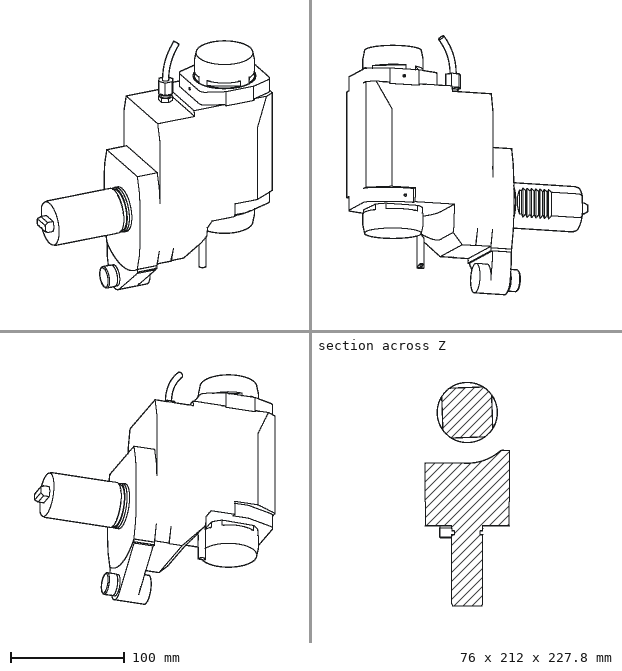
import cadquery as cq
import math


BODY_HALF_WIDTH = 38.0
BODY_REAR_Y = 133.5
BODY_TOP_Z = 97.1
BODY_BOTTOM_Z = -9.7
SHOULDER_Y = 55.2
SHOULDER_DROP = 5.0
TOP_BEVEL_DROP = 25.0
TOP_BEVEL_INSET = 7.0
REAR_BEVEL_LENGTH = 20.0
REAR_BEVEL_ANGLE = 30.0
REAR_BEVEL_INSET = REAR_BEVEL_LENGTH * math.tan(math.radians(REAR_BEVEL_ANGLE))
FRONT_BEVEL_LENGTH = 11.6

FLANGE_THICKNESS = 19.3
FLANGE_HALF_WIDTH = 36.9
FLANGE_RADIUS = 55.0
FLANGE_TOP_Z = 44.4
SIDE_FLAT_HALF_HEIGHT = 16.8
SIDE_LEAN = 0.1
LEAN_BREAK_Z = 29.8
LEAN_BREAK_HALF_WIDTH = FLANGE_HALF_WIDTH - SIDE_LEAN * (LEAN_BREAK_Z - SIDE_FLAT_HALF_HEIGHT)
FLANGE_CORNER_X = 31.1
FLANGE_CORNER_Z = math.sqrt(FLANGE_RADIUS**2 - FLANGE_CORNER_X**2)
FOOT_HALF_WIDTH = 31.3
FOOT_BOTTOM_Z = -48.0
HOUSING_BOTTOM_Z = -44.0
HOUSING_SLOPE_END_Y = 45.5
HOUSING_RELIEF_Y = 33.1
HOUSING_RELIEF_INSET = 1.0
HOUSING_STEP = 0.5
CAP_CLEARANCE_RADIUS = 44.4
HOUSING_WALL_Y = 65.4
HOUSING_WALL_TOP_Z = -15.6
HOUSING_WALL_TOP_RUN = 4.4

SPINDLE_Y = 99.5
RING_THICKNESS = 12.4
RING_HALF_LENGTH = BODY_REAR_Y - SPINDLE_Y
RING_CORNER_RADIUS = 6.0
RING_SLANT_ANGLE = 21.4
RING_SLANT_APEX_X = 36.7
TOP_RING_HALF_WIDTH = 31.4
TOP_RING_ROOT = 1.4
BOTTOM_RING_HALF_WIDTH = 34.2
BOTTOM_RING_FLAT_REACH = 10.0
BOTTOM_RING_EDGE_RADIUS = 4.0
RING_RECESS_DIAMETER = 55.0
RING_RECESS_DEPTH = 1.0
RING_DOT_DIAMETER = 2.1
RING_DOT_DEPTH = 2.0
RING_DOT_DROP = 6.1
RING_POCKET_Y = 91.8
CAP_DIAMETER = 53.0
CAP_END_DIAMETER = 50.0
CAP_HEIGHT = 22.0
CAP_TAPER_HEIGHT = 7.4
CAP_FLAT_HEIGHT = 4.8
CAP_ACROSS_FLATS = 44.0
CAP_FLAT_COUNT = 4
TOP_CAP_TURN = -27.0
BOTTOM_CAP_TURN = 2.0

SHANK_DIAMETER = 40.0
SHANK_LENGTH = 70.3
SHANK_CHAMFER_LENGTH = 2.2
SHANK_CHAMFER_DEPTH = 0.7
COLLAR_DIAMETER = 39.6
COLLAR_START = 2.3
SEAL_GROOVE_START = 4.3
SEAL_GROOVE_WIDTH = 3.4
SEAL_GROOVE_DIAMETER = 37.0
SHANK_FLAT_X = -17.0
SHANK_FLAT_START = 9.0
TOOTH_COUNT = 7
TOOTH_PITCH = 4.0
TOOTH_DEPTH = 1.8
FIRST_TOOTH_Y = -15.8
TANG_DIAMETER = 17.0
TANG_HEIGHT = 9.7
TANG_LENGTH = 8.2
TANG_TIP_LENGTH = 2.9
TANG_TIP_DEPTH = 1.9

LUG_X = -14.5
LUG_Z = -70.0
LUG_RADIUS = 13.0
LUG_FRONT_Y = 0.2
LUG_REAR_Y = 18.0
LUG_HALF_WIDTH = 31.1
LUG_LEFT_BREAK_Z = -57.3
LUG_RIGHT_BREAK_Z = -49.2
LUG_BOSS_REAR_Y = 28.1
PIN_DIAMETER = 19.4
PIN_NECK_DIAMETER = 19.0
PIN_NECK_LENGTH = 2.0
PIN_LENGTH = 10.8
PIN_CHAMFER = 1.0

HOSE_X = -10.0
HOSE_Y = 47.1
BASE_NUT_ACROSS_FLATS = 10.8
BASE_NUT_HEIGHT = 3.6
STEM_DIAMETER = 8.15
COLLAR_NECK_DIAMETER = 9.8
STEM_HEIGHT = 2.2
COLLAR_NECK_HEIGHT = 1.3
TOP_NUT_ACROSS_FLATS = 12.0
TOP_NUT_HEIGHT = 12.2
HOSE_DIAMETER = 5.6
HOSE_REACH = 13.2
HOSE_RISE = 31.43
HOSE_TIP_ANGLE = 45.0
HOSE_HEADING = 109.0

PIPE_X = 31.1
PIPE_Y = 63.3
PIPE_DIAMETER = 6.37
PIPE_END_Z = -54.8
PIPE_CUT_WIDTH = 2.4
PIPE_CUT_HEIGHT = 3.3
PIPE_OUTLET_DIAMETER = 2.1
PIPE_OUTLET_DEPTH = 3.0

OVERSIZE = 100.0


def box(x0, x1, y0, y1, z0, z1):
    return cq.Workplane("XY").box(x1 - x0, y1 - y0, z1 - z0, centered=False).translate((x0, y0, z0))


def prism_along_y(points, y0, y1):
    """Extrude an (x, z) outline from y0 to y1."""
    return cq.Workplane("XZ", origin=(0, y0, 0)).polyline(points).close().extrude(y0 - y1)


def cylinder_along_y(x, z, diameter, y0, y1):
    return cq.Workplane("XZ", origin=(x, y0, z)).circle(diameter / 2).extrude(y0 - y1)


def mirrored_pair(shape):
    return shape.union(shape.mirror("YZ"))


def tangent_point(point, center, radius, side):
    """Point where the line from `point` touches the circle; `side` is +1 or -1."""
    dx = point[0] - center[0]
    dz = point[1] - center[1]
    angle = math.atan2(dz, dx) + side * math.acos(radius / math.hypot(dx, dz))
    return (center[0] + radius * math.cos(angle), center[1] + radius * math.sin(angle))


def make_body():
    lean_start_z = -SIDE_FLAT_HALF_HEIGHT + (BODY_HALF_WIDTH - FLANGE_HALF_WIDTH) / SIDE_LEAN
    lower_lean = (LEAN_BREAK_HALF_WIDTH - FLANGE_CORNER_X) / (FLANGE_CORNER_Z - LEAN_BREAK_Z)
    bottom_run = lower_lean * (-HOUSING_BOTTOM_Z - LEAN_BREAK_Z)
    bottom_half_width = LEAN_BREAK_HALF_WIDTH - bottom_run - HOUSING_STEP
    right_side = [
        (bottom_half_width, HOUSING_BOTTOM_Z),
        (LEAN_BREAK_HALF_WIDTH, -LEAN_BREAK_Z),
        (BODY_HALF_WIDTH, lean_start_z),
        (BODY_HALF_WIDTH, BODY_TOP_Z - TOP_BEVEL_DROP),
        (BODY_HALF_WIDTH - TOP_BEVEL_INSET, BODY_TOP_Z),
    ]
    left_side = [(-x, z) for x, z in reversed(right_side)]
    body = prism_along_y(right_side + left_side, FLANGE_THICKNESS, BODY_REAR_Y)

    plan = cq.Workplane("XY", origin=(0, 0, -OVERSIZE))
    rear = plan.polyline([
        (BODY_HALF_WIDTH, BODY_REAR_Y - REAR_BEVEL_LENGTH),
        (BODY_HALF_WIDTH, BODY_REAR_Y),
        (BODY_HALF_WIDTH - REAR_BEVEL_INSET, BODY_REAR_Y),
    ]).close().extrude(2 * OVERSIZE)
    front = plan.polyline([
        (BODY_HALF_WIDTH, FLANGE_THICKNESS + FRONT_BEVEL_LENGTH),
        (BODY_HALF_WIDTH, FLANGE_THICKNESS),
        (FLANGE_HALF_WIDTH, FLANGE_THICKNESS),
    ]).close().extrude(2 * OVERSIZE)
    body = body.cut(mirrored_pair(rear)).cut(mirrored_pair(front))

    shoulder_z = BODY_TOP_Z - SHOULDER_DROP
    body = body.cut(box(-OVERSIZE, OVERSIZE, 0, SHOULDER_Y, shoulder_z, OVERSIZE))

    relief = prism_along_y([
        (LEAN_BREAK_HALF_WIDTH, -LEAN_BREAK_Z),
        (OVERSIZE, HOUSING_BOTTOM_Z),
        (bottom_half_width - HOUSING_RELIEF_INSET, HOUSING_BOTTOM_Z),
    ], HOUSING_RELIEF_Y, BODY_REAR_Y)
    return body.cut(mirrored_pair(relief)).cut(make_spindle_clearance())


def make_spindle_clearance():
    """Space around the bottom cap: straight on the -X side, round on the +X side."""
    straight = box(-OVERSIZE, 0, SHOULDER_Y, BODY_REAR_Y, -OVERSIZE, BODY_BOTTOM_Z)
    bore = (
        cq.Workplane("XY", origin=(0, SPINDLE_Y, BODY_BOTTOM_Z))
        .circle(CAP_CLEARANCE_RADIUS)
        .extrude(-OVERSIZE)
    )
    behind = (
        cq.Workplane("YZ")
        .polyline([
            (HOUSING_WALL_Y, -OVERSIZE),
            (HOUSING_WALL_Y, HOUSING_WALL_TOP_Z),
            (HOUSING_WALL_Y + HOUSING_WALL_TOP_RUN, BODY_BOTTOM_Z),
            (BODY_REAR_Y, BODY_BOTTOM_Z),
            (BODY_REAR_Y, -OVERSIZE),
        ])
        .close()
        .extrude(OVERSIZE)
    )
    slope = (
        cq.Workplane("YZ", origin=(-OVERSIZE, 0, 0))
        .polyline([
            (HOUSING_SLOPE_END_Y, HOUSING_BOTTOM_Z),
            (HOUSING_SLOPE_END_Y + OVERSIZE, HOUSING_BOTTOM_Z),
            (HOUSING_SLOPE_END_Y + OVERSIZE, HOUSING_BOTTOM_Z + OVERSIZE),
        ])
        .close()
        .extrude(2 * OVERSIZE)
        .intersect(box(-OVERSIZE, OVERSIZE, 0, 2 * OVERSIZE, -OVERSIZE, BODY_BOTTOM_Z))
    )
    return straight.union(bore).union(behind).union(slope)


def make_flange():
    top_run = (LEAN_BREAK_HALF_WIDTH - FLANGE_CORNER_X) / (FLANGE_CORNER_Z - LEAN_BREAK_Z)
    top_half_width = LEAN_BREAK_HALF_WIDTH - top_run * (FLANGE_TOP_Z - LEAN_BREAK_Z)
    flange = (
        cq.Workplane("XZ")
        .moveTo(-FLANGE_CORNER_X, -FLANGE_CORNER_Z)
        .threePointArc((0, -FLANGE_RADIUS), (FLANGE_CORNER_X, -FLANGE_CORNER_Z))
        .lineTo(LEAN_BREAK_HALF_WIDTH, -LEAN_BREAK_Z)
        .lineTo(FLANGE_HALF_WIDTH, -SIDE_FLAT_HALF_HEIGHT)
        .lineTo(FLANGE_HALF_WIDTH, SIDE_FLAT_HALF_HEIGHT)
        .lineTo(LEAN_BREAK_HALF_WIDTH, LEAN_BREAK_Z)
        .lineTo(top_half_width, FLANGE_TOP_Z)
        .lineTo(-top_half_width, FLANGE_TOP_Z)
        .lineTo(-LEAN_BREAK_HALF_WIDTH, LEAN_BREAK_Z)
        .lineTo(-FLANGE_HALF_WIDTH, SIDE_FLAT_HALF_HEIGHT)
        .lineTo(-FLANGE_HALF_WIDTH, -SIDE_FLAT_HALF_HEIGHT)
        .lineTo(-LEAN_BREAK_HALF_WIDTH, -LEAN_BREAK_Z)
        .close()
        .extrude(-FLANGE_THICKNESS)
    )
    flange = flange.cut(
        box(-OVERSIZE, OVERSIZE, LUG_REAR_Y, FLANGE_THICKNESS, -OVERSIZE, FOOT_BOTTOM_Z)
    )
    foot = box(
        -FOOT_HALF_WIDTH, FOOT_HALF_WIDTH, LUG_FRONT_Y, FLANGE_THICKNESS, FOOT_BOTTOM_Z, -FLANGE_CORNER_Z
    )
    return flange.union(foot)


def make_lug():
    center = (LUG_X, LUG_Z)
    left = (-LUG_HALF_WIDTH, LUG_LEFT_BREAK_Z)
    right = (LUG_HALF_WIDTH, LUG_RIGHT_BREAK_Z)
    plate = (
        cq.Workplane("XZ", origin=(0, LUG_FRONT_Y, 0))
        .moveTo(-LUG_HALF_WIDTH, -FLANGE_CORNER_Z)
        .lineTo(*left)
        .lineTo(*tangent_point(left, center, LUG_RADIUS, 1))
        .threePointArc((LUG_X, LUG_Z - LUG_RADIUS), tangent_point(right, center, LUG_RADIUS, -1))
        .lineTo(*right)
        .lineTo(LUG_HALF_WIDTH, -FLANGE_CORNER_Z)
        .close()
        .extrude(LUG_FRONT_Y - LUG_REAR_Y)
    )
    boss = cylinder_along_y(LUG_X, LUG_Z, 2 * LUG_RADIUS, LUG_FRONT_Y, LUG_BOSS_REAR_Y)
    pin = cylinder_along_y(LUG_X, LUG_Z, PIN_DIAMETER, -PIN_LENGTH, -PIN_NECK_LENGTH)
    pin = pin.faces("<Y").chamfer(PIN_CHAMFER)
    neck = cylinder_along_y(LUG_X, LUG_Z, PIN_NECK_DIAMETER, -PIN_NECK_LENGTH, LUG_FRONT_Y)
    return plate.union(boss).union(pin).union(neck)


def make_ring(half_width, thickness):
    """Eight-sided clamping ring hanging below Z = 0, with its end corners rounded."""
    slant = math.tan(math.radians(RING_SLANT_ANGLE))
    flat_half_length = (RING_SLANT_APEX_X - half_width) / slant
    end_half_width = RING_SLANT_APEX_X - RING_HALF_LENGTH * slant
    corners = [
        (half_width, flat_half_length),
        (end_half_width, RING_HALF_LENGTH),
        (-end_half_width, RING_HALF_LENGTH),
        (-half_width, flat_half_length),
        (-half_width, -flat_half_length),
        (-end_half_width, -RING_HALF_LENGTH),
        (end_half_width, -RING_HALF_LENGTH),
        (half_width, -flat_half_length),
    ]
    ring = cq.Workplane("XY").polyline(corners).close().extrude(-thickness)
    reach = (half_width + end_half_width) / 2
    end_edges = cq.selectors.BoxSelector((-reach, -OVERSIZE, -OVERSIZE), (reach, OVERSIZE, OVERSIZE))
    ring = ring.edges("|Z").edges(end_edges).fillet(RING_CORNER_RADIUS)
    side_dot = (
        cq.Workplane("YZ", origin=(-half_width, 0, -RING_DOT_DROP))
        .circle(RING_DOT_DIAMETER / 2)
        .extrude(RING_DOT_DEPTH)
    )
    front_dot = cylinder_along_y(
        0, -RING_DOT_DROP, RING_DOT_DIAMETER, -RING_HALF_LENGTH, RING_DOT_DEPTH - RING_HALF_LENGTH
    )
    return ring.cut(side_dot).cut(front_dot)


def make_cap(turn):
    """Screw cap standing on Z = 0, with four wrench flats at its foot."""
    cap = (
        cq.Workplane("XZ")
        .polyline([
            (0, -RING_RECESS_DEPTH),
            (CAP_DIAMETER / 2, -RING_RECESS_DEPTH),
            (CAP_DIAMETER / 2, CAP_HEIGHT - CAP_TAPER_HEIGHT),
            (CAP_END_DIAMETER / 2, CAP_HEIGHT),
            (0, CAP_HEIGHT),
        ])
        .close()
        .revolve(360, (0, 0, 0), (0, 1, 0))
    )
    flat_cut = box(CAP_ACROSS_FLATS / 2, OVERSIZE, -OVERSIZE, OVERSIZE, 0, CAP_FLAT_HEIGHT)
    for index in range(CAP_FLAT_COUNT):
        cap = cap.cut(flat_cut.rotate((0, 0, 0), (0, 0, 1), turn + index * 360 / CAP_FLAT_COUNT))
    return cap


def add_spindle_ends(body):
    recess = cq.Workplane("XY").circle(RING_RECESS_DIAMETER / 2).extrude(-RING_RECESS_DEPTH)
    ring_top_z = BODY_TOP_Z + RING_THICKNESS
    top_ring = make_ring(TOP_RING_HALF_WIDTH, RING_THICKNESS + TOP_RING_ROOT)
    top_ring = top_ring.translate((0, SPINDLE_Y, ring_top_z))
    top_ring = top_ring.cut(recess.translate((0, SPINDLE_Y, ring_top_z)))
    top_cap = make_cap(TOP_CAP_TURN).translate((0, SPINDLE_Y, ring_top_z))
    body = body.union(top_ring).union(top_cap)

    pocket = box(
        -OVERSIZE, OVERSIZE, RING_POCKET_Y, BODY_REAR_Y, BODY_BOTTOM_Z, BODY_BOTTOM_Z + RING_THICKNESS
    )
    bottom_ring = make_ring(BOTTOM_RING_HALF_WIDTH, RING_THICKNESS)
    rounded = cq.selectors.BoxSelector(
        (-OVERSIZE, -BOTTOM_RING_FLAT_REACH, -OVERSIZE), (OVERSIZE, BOTTOM_RING_FLAT_REACH, OVERSIZE)
    )
    bottom_ring = bottom_ring.edges("|Z").edges(rounded).fillet(BOTTOM_RING_EDGE_RADIUS)
    bottom_ring = bottom_ring.mirror("XY").translate((0, SPINDLE_Y, BODY_BOTTOM_Z))
    bottom_cap = make_cap(BOTTOM_CAP_TURN).mirror("XY").translate((0, SPINDLE_Y, BODY_BOTTOM_Z))
    return body.cut(pocket).union(bottom_ring).union(bottom_cap)


def make_shank():
    radius = SHANK_DIAMETER / 2
    groove_end = SEAL_GROOVE_START + SEAL_GROOVE_WIDTH
    shank = (
        cq.Workplane("XY")
        .polyline([
            (0, FLANGE_THICKNESS),
            (radius, FLANGE_THICKNESS),
            (radius, -COLLAR_START),
            (COLLAR_DIAMETER / 2, -COLLAR_START),
            (COLLAR_DIAMETER / 2, -SEAL_GROOVE_START),
            (SEAL_GROOVE_DIAMETER / 2, -SEAL_GROOVE_START),
            (SEAL_GROOVE_DIAMETER / 2, -groove_end),
            (radius, -groove_end),
            (radius, SHANK_CHAMFER_LENGTH - SHANK_LENGTH),
            (radius - SHANK_CHAMFER_DEPTH, -SHANK_LENGTH),
            (0, -SHANK_LENGTH),
        ])
        .close()
        .revolve(360, (0, 0, 0), (0, 1, 0))
    )
    plan = cq.Workplane("XY", origin=(0, 0, -OVERSIZE / 2))
    run_in = radius + SHANK_FLAT_X
    flat = plan.polyline([
        (-radius, -SHANK_FLAT_START),
        (SHANK_FLAT_X, -SHANK_FLAT_START - run_in),
        (SHANK_FLAT_X, -OVERSIZE),
        (-radius, -OVERSIZE),
    ]).close().extrude(OVERSIZE)
    shank = shank.cut(flat)
    for index in range(TOOTH_COUNT):
        tooth_y = FIRST_TOOTH_Y - index * TOOTH_PITCH
        notch = plan.polyline([
            (SHANK_FLAT_X, tooth_y + TOOTH_DEPTH),
            (SHANK_FLAT_X + TOOTH_DEPTH, tooth_y),
            (SHANK_FLAT_X, tooth_y - TOOTH_DEPTH),
        ]).close().extrude(OVERSIZE)
        shank = shank.cut(notch)
    return shank.union(make_tang())


def make_tang():
    """Drive tang with rounded ends, bevelled above and below at its tip."""
    tip_y = -SHANK_LENGTH - TANG_LENGTH
    half_height = TANG_HEIGHT / 2
    side_outline = [
        (-SHANK_LENGTH, half_height),
        (tip_y + TANG_TIP_LENGTH, half_height),
        (tip_y, half_height - TANG_TIP_DEPTH),
        (tip_y, TANG_TIP_DEPTH - half_height),
        (tip_y + TANG_TIP_LENGTH, -half_height),
        (-SHANK_LENGTH, -half_height),
    ]
    blade = cq.Workplane("YZ").polyline(side_outline).close().extrude(TANG_DIAMETER / 2, both=True)
    return blade.intersect(cylinder_along_y(0, 0, TANG_DIAMETER, tip_y, -SHANK_LENGTH))


def hexagon_nut(across_flats, height, z, turn):
    across_corners = across_flats / math.cos(math.radians(30))
    nut = cq.Workplane("XY").polygon(6, across_corners).extrude(height)
    return nut.rotate((0, 0, 0), (0, 0, 1), turn).translate((HOSE_X, HOSE_Y, z))


def make_hose():
    base_z = BODY_TOP_Z - SHOULDER_DROP
    stem_z = base_z + BASE_NUT_HEIGHT
    neck_z = stem_z + STEM_HEIGHT
    nut_z = neck_z + COLLAR_NECK_HEIGHT
    hose_z = nut_z + TOP_NUT_HEIGHT
    axis = cq.Workplane("XY", origin=(HOSE_X, HOSE_Y, 0))
    fitting = hexagon_nut(BASE_NUT_ACROSS_FLATS, BASE_NUT_HEIGHT, base_z, 0)
    fitting = fitting.union(axis.workplane(stem_z).circle(STEM_DIAMETER / 2).extrude(STEM_HEIGHT))
    fitting = fitting.union(
        axis.workplane(neck_z).circle(COLLAR_NECK_DIAMETER / 2).extrude(COLLAR_NECK_HEIGHT)
    )
    fitting = fitting.union(hexagon_nut(TOP_NUT_ACROSS_FLATS, TOP_NUT_HEIGHT, nut_z, 30))

    tip_angle = math.radians(HOSE_TIP_ANGLE)
    path = cq.Workplane("XZ").spline(
        [(0, 0), (HOSE_REACH, HOSE_RISE)],
        tangents=[(0, 1), (math.sin(tip_angle), math.cos(tip_angle))],
    )
    hose = cq.Workplane("XY").circle(HOSE_DIAMETER / 2).sweep(path)
    hose = hose.rotate((0, 0, 0), (0, 0, 1), HOSE_HEADING).translate((HOSE_X, HOSE_Y, hose_z))
    return fitting.union(hose)


def make_pipe():
    """Coolant pipe whose end is cut obliquely toward -X, with a small outlet in the cut."""
    radius = PIPE_DIAMETER / 2
    left_x = PIPE_X - radius
    pipe = (
        cq.Workplane("XY", origin=(PIPE_X, PIPE_Y, PIPE_END_Z))
        .circle(radius)
        .extrude(BODY_BOTTOM_Z - PIPE_END_Z)
    )
    corner = prism_along_y([
        (left_x, PIPE_END_Z),
        (left_x + PIPE_CUT_WIDTH, PIPE_END_Z),
        (left_x, PIPE_END_Z + PIPE_CUT_HEIGHT),
    ], PIPE_Y - radius, PIPE_Y + radius)
    outlet_plane = cq.Plane(
        origin=(left_x + PIPE_CUT_WIDTH / 2, PIPE_Y, PIPE_END_Z + PIPE_CUT_HEIGHT / 2),
        xDir=(0, 1, 0),
        normal=(-PIPE_CUT_HEIGHT, 0, -PIPE_CUT_WIDTH),
    )
    outlet = cq.Workplane(outlet_plane).circle(PIPE_OUTLET_DIAMETER / 2).extrude(-PIPE_OUTLET_DEPTH)
    return pipe.cut(corner).cut(outlet)


body = add_spindle_ends(make_body())
for piece in (make_flange(), make_lug(), make_shank(), make_hose(), make_pipe()):
    body = body.union(piece)
result = body